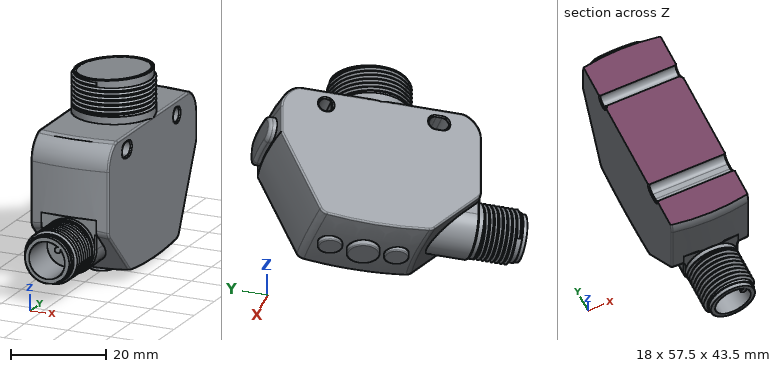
import cadquery as cq
import math


WIDTH = 18.0
HALF_WIDTH = WIDTH / 2
HALF_DEPTH = 22.7
CREST_BOTTOM = -32.4
CROWN_RADIUS = 50.0
FLOOR_RADIUS = 90.0
FRONT_SLANT_ANGLE = 45.0
FRONT_SLANT_TOP = -19.26
REAR_SLANT_ANGLE = 25.6
REAR_SLANT_TOP = -12.3
SHOULDER_RADIUS = 6.0
SHOULDER_RISE = 0.4
SHOULDER_BLEND = 2.7
CORNER_RADIUS = 2.0
EDGE_RADIUS = 0.4
MARGIN = 30.0
OVERLAP = 1.0
TOLERANCE = 0.01

HOLE_DIAMETER = 3.1
HOLE_Z = -3.36
HOLE_Y = 12.06
HOLE_FLAT_Y = 10.9
SLOT_Y = -12.67
SLOT_LENGTH = 4.35
HOLE_CHAMFER = 0.3

PITCH = 1.0
THREAD_DEPTH = 0.5
THREAD_HALF_BASE = 0.46
THREAD_SINK = 0.03
THREAD_CLEARANCE = 0.02
BARREL_DIAMETER = 18.0
BARREL_COLLAR = 1.65
BARREL_THREAD_END = 8.4
BARREL_HIGH = 10.0
BARREL_LOW = 8.94
GROOVE_OUTER_DIAMETER = 16.7
GROOVE_INNER_DIAMETER = 15.9
GROOVE_DEPTH = 0.2

CONNECTOR_Z = -23.0
CONNECTOR_DIAMETER = 12.0
CONNECTOR_CORE = 10.8
CONNECTOR_TIP_DIAMETER = 10.3
PAD_Y = -22.35
PAD_TOP = -16.57
PAD_RADIUS = 6.35
PAD_DEPTH = 12.0
PAD_EDGE = 0.35
PAD_FLUSH_Z = -19.9
CONNECTOR_COLLAR_Y = -23.4
CONNECTOR_THREAD_END_Y = -31.5
CONNECTOR_STEP_Y = -32.2
CONNECTOR_END_Y = -33.15
SOCKET_DIAMETER = 8.3
SOCKET_DEPTH = 9.0
KEY_RADIUS = 0.65
KEY_INSET = 0.55
KEY_ANGLE = 47.0

WINDOW_LENGTH = 13.9
WINDOW_HEIGHT = 5.9
WINDOW_Z = -9.0
WINDOW_Y = 24.38
WINDOW_EDGE = 0.8

BUTTON_Y = 1.35
BUTTON_SPACING = 7.25
MAIN_BUTTON_DIAMETER = 7.0
MAIN_BUTTON_BOTTOM = -33.5
SIDE_BUTTON_DIAMETER = 5.25
SIDE_BUTTON_BOTTOM = -32.95
BUTTON_EDGE = 0.25


def crowned_wall(crest_y, crest_z, tilt):
    """Long cylinder whose crest line passes the point (y, z), leaning outward-down by `tilt` degrees.

    `tilt` turns the outward normal from +Y toward -Z (or past 90 degrees, toward -Y).
    """
    angle = math.radians(tilt)
    normal = cq.Vector(0, math.cos(angle), -math.sin(angle))
    along = cq.Vector(0, math.sin(angle), math.cos(angle))
    length = 4 * MARGIN
    base = cq.Vector(0, crest_y, crest_z) - normal * CROWN_RADIUS - along * (length / 2)
    return cq.Workplane(cq.Solid.makeCylinder(CROWN_RADIUS, length, base, along))


def crowned_floor():
    """Solid whose lower side is curved along the depth and across the width."""
    sag = FLOOR_RADIUS - math.sqrt(FLOOR_RADIUS**2 - MARGIN**2)
    axis_z = CREST_BOTTOM + CROWN_RADIUS
    near = BUTTON_Y - MARGIN
    far = BUTTON_Y + MARGIN
    return (
        cq.Workplane("YZ")
        .moveTo(near, axis_z)
        .lineTo(near, CREST_BOTTOM + sag)
        .threePointArc((BUTTON_Y, CREST_BOTTOM), (far, CREST_BOTTOM + sag))
        .lineTo(far, axis_z)
        .close()
        .revolve(360, (near, axis_z, 0), (far, axis_z, 0))
    )


def crosswise_edges(solid, z_min, z_max):
    """Edges running across the full width, with their middle between two heights."""
    def chosen(edge):
        spans = edge.BoundingBox().xlen > WIDTH - TOLERANCE
        return spans and z_min < edge.positionAt(0.5).z < z_max
    return solid.newObject([e for e in solid.edges().vals() if chosen(e)])


def make_housing():
    height = MARGIN * 2
    body = cq.Workplane("XY", origin=(0, 0, SHOULDER_RISE - height / 2)).box(WIDTH, 4 * MARGIN, height)
    body = body.intersect(crowned_wall(-HALF_DEPTH, 0, 180))
    body = body.intersect(crowned_wall(HALF_DEPTH, 0, 0))
    body = body.intersect(crowned_wall(HALF_DEPTH, REAR_SLANT_TOP, REAR_SLANT_ANGLE))
    body = body.intersect(crowned_floor())
    rise = math.tan(math.radians(FRONT_SLANT_ANGLE))
    front_slant = (
        cq.Workplane("YZ")
        .moveTo(-HALF_DEPTH - MARGIN, FRONT_SLANT_TOP + MARGIN / rise)
        .lineTo(-HALF_DEPTH + MARGIN, FRONT_SLANT_TOP - MARGIN / rise)
        .lineTo(-HALF_DEPTH - MARGIN, FRONT_SLANT_TOP - MARGIN / rise)
        .close()
        .extrude(HALF_WIDTH, both=True)
    )
    body = body.cut(front_slant)
    body = crosswise_edges(body, -MARGIN * 2, -OVERLAP).fillet(CORNER_RADIUS)
    body = crosswise_edges(body, -OVERLAP, OVERLAP).fillet(SHOULDER_RADIUS)
    top_trim = cq.Workplane("XY").box(2 * WIDTH, 4 * MARGIN, MARGIN, centered=(True, True, False))
    body = body.cut(top_trim)
    body = crosswise_edges(body, -TOLERANCE, TOLERANCE).fillet(SHOULDER_BLEND)
    return body.faces("<X or >X").edges().fillet(EDGE_RADIUS)


def through_width(outline):
    return outline.extrude(HALF_WIDTH, both=True)


def mounting_holes():
    side = cq.Workplane("YZ", origin=(0, 0, HOLE_Z))
    flat_reach = HOLE_DIAMETER
    flat = through_width(
        cq.Workplane("YZ", origin=(0, HOLE_FLAT_Y - flat_reach / 2, HOLE_Z)).rect(flat_reach, HOLE_DIAMETER)
    )
    round_hole = through_width(side.center(HOLE_Y, 0).circle(HOLE_DIAMETER / 2)).cut(flat)
    slot = through_width(side.center(SLOT_Y, 0).slot2D(SLOT_LENGTH, HOLE_DIAMETER))
    holes = round_hole.union(slot)
    for end, inward in ((-HALF_WIDTH, 1), (HALF_WIDTH, -1)):
        rim = cq.Workplane("YZ", origin=(end, 0, HOLE_Z))
        mouth = HOLE_DIAMETER + 2 * HOLE_CHAMFER
        depth = inward * HOLE_CHAMFER
        holes = holes.union(rim.center(HOLE_Y, 0).circle(mouth / 2).extrude(depth, taper=45))
        holes = holes.union(
            rim.center(SLOT_Y, 0).slot2D(SLOT_LENGTH + 2 * HOLE_CHAMFER, mouth).extrude(depth, taper=45)
        )
    return holes


def thread_ridge(crest_diameter, depth, start, end):
    """Helical triangular ridge about the Z axis, sunk slightly into its core."""
    crest = crest_diameter / 2 - THREAD_CLEARANCE
    root = crest - depth
    base = THREAD_HALF_BASE * (1 + THREAD_SINK / depth)
    path = cq.Wire.makeHelix(PITCH, end - start, root, center=cq.Vector(0, 0, start))
    return (
        cq.Workplane("XZ")
        .moveTo(root - THREAD_SINK, start - base)
        .lineTo(crest, start)
        .lineTo(root - THREAD_SINK, start + base)
        .close()
        .sweep(cq.Workplane(path), isFrenet=True)
    )


def make_barrel():
    core_radius = BARREL_DIAMETER / 2 - THREAD_DEPTH
    collar = cq.Workplane("XY", origin=(0, 0, -OVERLAP)).circle(BARREL_DIAMETER / 2)
    collar = collar.extrude(BARREL_COLLAR + OVERLAP)
    core = (
        cq.Workplane("XZ")
        .moveTo(-core_radius, 0)
        .lineTo(core_radius, 0)
        .lineTo(core_radius, BARREL_HIGH)
        .lineTo(-core_radius, BARREL_LOW)
        .close()
        .extrude(BARREL_DIAMETER, both=True)
        .intersect(cq.Workplane("XY").circle(core_radius).extrude(BARREL_HIGH + OVERLAP))
    )
    ring = (
        cq.Workplane("XY")
        .circle(GROOVE_OUTER_DIAMETER / 2)
        .circle(GROOVE_INNER_DIAMETER / 2)
        .extrude(BARREL_HIGH + OVERLAP)
    )
    core = core.cut(ring.cut(core.translate((0, 0, -GROOVE_DEPTH))))
    ridge = thread_ridge(BARREL_DIAMETER, THREAD_DEPTH, BARREL_COLLAR - PITCH / 2, BARREL_THREAD_END)
    ridge = ridge.rotate((0, 0, 0), (0, 0, 1), 180)
    return core.union(collar).union(ridge)


def pad_outline(y):
    return (
        cq.Workplane("XZ", origin=(0, y, 0))
        .moveTo(-PAD_RADIUS, PAD_TOP)
        .lineTo(-PAD_RADIUS, CONNECTOR_Z)
        .threePointArc((0, CONNECTOR_Z - PAD_RADIUS), (PAD_RADIUS, CONNECTOR_Z))
        .lineTo(PAD_RADIUS, PAD_TOP)
        .close()
    )


def add_pad(body):
    """U-shaped block carrying the connector, with a flat face let into the front wall."""
    block = pad_outline(PAD_Y).extrude(-PAD_DEPTH).faces("<Y").edges("not >Z").chamfer(PAD_EDGE)
    flush_height = PAD_TOP - PAD_FLUSH_Z
    flush = (
        cq.Workplane("XY", origin=(0, PAD_Y, PAD_FLUSH_Z))
        .box(2 * PAD_RADIUS, PAD_DEPTH, flush_height, centered=(True, False, False))
    )
    block = block.union(flush)
    return body.cut(pad_outline(PAD_Y).extrude(MARGIN)).union(block)


def connector_cylinder(diameter, y_start, y_end):
    return cq.Workplane("XZ", origin=(0, y_start, CONNECTOR_Z)).circle(diameter / 2).extrude(y_start - y_end)


def make_connector():
    depth = (CONNECTOR_DIAMETER - CONNECTOR_CORE) / 2
    inner = PAD_Y + OVERLAP
    stem = connector_cylinder(CONNECTOR_DIAMETER, inner, CONNECTOR_COLLAR_Y)
    stem = stem.union(connector_cylinder(CONNECTOR_CORE, inner, CONNECTOR_STEP_Y))
    stem = stem.union(connector_cylinder(CONNECTOR_TIP_DIAMETER, inner, CONNECTOR_END_Y))
    ridge = thread_ridge(
        CONNECTOR_DIAMETER, depth, -CONNECTOR_COLLAR_Y - PITCH / 2, -CONNECTOR_THREAD_END_Y
    )
    ridge = ridge.rotate((0, 0, 0), (1, 0, 0), 90).translate((0, 0, CONNECTOR_Z))
    return stem.union(ridge)


def connector_socket():
    """Blind bore with a half-round key along its wall."""
    bore = connector_cylinder(SOCKET_DIAMETER, CONNECTOR_END_Y + SOCKET_DEPTH, CONNECTOR_END_Y)
    angle = math.radians(KEY_ANGLE)
    reach = SOCKET_DIAMETER / 2 - KEY_INSET
    key = connector_cylinder(2 * KEY_RADIUS, CONNECTOR_END_Y + SOCKET_DEPTH, CONNECTOR_END_Y)
    key = key.translate((reach * math.cos(angle), 0, reach * math.sin(angle)))
    return bore.cut(key)


def make_window():
    crown = crowned_wall(WINDOW_Y, 0, 0)
    inner = HALF_DEPTH - 2 * OVERLAP
    window = (
        cq.Workplane("XZ", origin=(0, inner, WINDOW_Z))
        .slot2D(WINDOW_LENGTH, WINDOW_HEIGHT)
        .extrude(-(WINDOW_Y - inner + OVERLAP))
        .intersect(crown)
    )
    return window.faces(">Y").edges().fillet(WINDOW_EDGE)


def make_button(y, diameter, bottom):
    top = CREST_BOTTOM + 2 * OVERLAP
    return (
        cq.Workplane("XY", origin=(0, y, bottom))
        .circle(diameter / 2)
        .extrude(top - bottom)
        .faces("<Z")
        .edges()
        .fillet(BUTTON_EDGE)
    )


result = add_pad(make_housing())
result = result.union(make_barrel())
result = result.union(make_connector())
result = result.union(make_window())
result = result.union(make_button(BUTTON_Y, MAIN_BUTTON_DIAMETER, MAIN_BUTTON_BOTTOM))
for side in (-1, 1):
    button = make_button(BUTTON_Y + side * BUTTON_SPACING, SIDE_BUTTON_DIAMETER, SIDE_BUTTON_BOTTOM)
    result = result.union(button)
result = result.cut(mounting_holes())
result = result.cut(connector_socket())